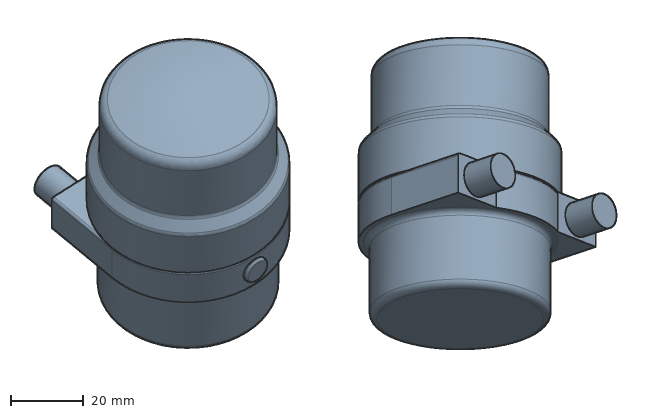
import cadquery as cq
import math

total_height = 77.5
band_bottom = 22.6
band_top = 34.5
dome_rim_height = 74.4

base_radius = 50.0 / 2
body_radius = 56.0 / 2
cap_radius = 49.0 / 2

base_round = 2.0
neck_round = 1.7
band_round = 0.8
shoulder_round = 1.5
cap_round = 3.0

shoulder_bottom = 49.4
shoulder_top = shoulder_bottom + body_radius - cap_radius

dome_rim_radius = 22.4
dome_rise = total_height - dome_rim_height
dome_radius = (dome_rim_radius**2 + dome_rise**2) / (2 * dome_rise)

block_reach = 25.0
pin_diameter = 10.0
pin_length = 10.0
pin_offset = 20.6

button_diameter = 8.0
button_reach = 29.0
button_round = 0.6

pin_root = 0.8
button_root = 1.55

edge_search_margin = 0.1

band_height = band_top - band_bottom
band_middle = (band_bottom + band_top) / 2


def sphere_height(radius):
    """Height of the dome surface at a given distance from the main axis."""
    return total_height - dome_radius + math.sqrt(dome_radius**2 - radius**2)


def round_edge_at(height):
    """Selector for the circular edges lying at a given height."""
    reach = body_radius + edge_search_margin
    return cq.selectors.BoxSelector(
        (-reach, -reach, height - edge_search_margin),
        (reach, reach, height + edge_search_margin),
        boundingbox=True,
    )


def make_base():
    """Lower cylinder with a rounded bottom edge and a fillet flaring into the band."""
    flare_radius = base_radius + neck_round
    flare_start = band_bottom - neck_round
    flare_sag = neck_round * (1 - math.sqrt(0.5))
    profile = (
        cq.Workplane("XZ")
        .lineTo(base_radius, 0)
        .lineTo(base_radius, flare_start)
        .threePointArc((base_radius + flare_sag, band_bottom - flare_sag), (flare_radius, band_bottom))
        .lineTo(0, band_bottom)
        .close()
    )
    return profile.revolve(360, (0, 0), (0, 1)).faces("<Z").edges().fillet(base_round)


def make_band():
    """Clamping band whose rounded top edge leaves a fine groove below the body."""
    band = cq.Workplane("XY").workplane(offset=band_bottom).circle(body_radius).extrude(band_height)
    return band.faces(">Z").edges().fillet(band_round)


def make_body_and_cap():
    """Body, 45 degree shoulder, cap and dome in one turned shape."""
    corner_height = sphere_height(cap_radius)
    mid_radius = cap_radius / 2
    profile = (
        cq.Workplane("XZ")
        .moveTo(0, band_top)
        .lineTo(body_radius, band_top)
        .lineTo(body_radius, shoulder_bottom)
        .lineTo(cap_radius, shoulder_top)
        .lineTo(cap_radius, corner_height)
        .threePointArc((mid_radius, sphere_height(mid_radius)), (0, total_height))
        .close()
    )
    turned = profile.revolve(360, (0, 0), (0, 1))
    turned = turned.edges(round_edge_at(corner_height)).fillet(cap_round)
    turned = turned.edges(round_edge_at(shoulder_top)).fillet(shoulder_round)
    return turned.edges(round_edge_at(shoulder_bottom)).fillet(shoulder_round)


def make_block():
    """Square-cornered terminal block as wide as the band."""
    block = (
        cq.Workplane("XY")
        .workplane(offset=band_bottom)
        .rect(block_reach, 2 * body_radius)
        .extrude(band_height)
        .translate((-block_reach / 2, 0, 0))
    )
    return block.faces(">Z").edges("|X").fillet(band_round)


def make_pin(side):
    """Plain round pin standing out of the block towards -X."""
    return (
        cq.Workplane("YZ")
        .workplane(offset=-block_reach - pin_length)
        .center(side * pin_offset, band_middle)
        .circle(pin_diameter / 2)
        .extrude(pin_length + pin_root)
    )


def make_button():
    """Low button with a rounded rim, rooted inside the band."""
    root = body_radius - button_root
    return (
        cq.Workplane("YZ")
        .workplane(offset=root)
        .center(0, band_middle)
        .circle(button_diameter / 2)
        .extrude(button_reach - root)
        .faces(">X")
        .edges()
        .fillet(button_round)
    )


result = make_base().union(make_band()).union(make_body_and_cap()).union(make_block())
for side in (-1, 1):
    result = result.union(make_pin(side))
result = result.union(make_button())